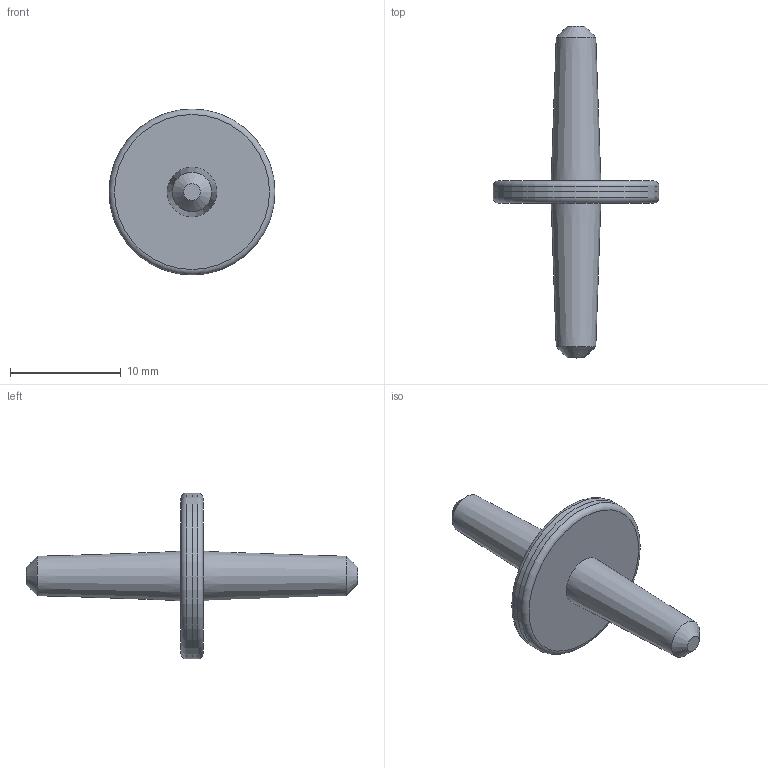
import cadquery as cq
import math

total_length = 30.0
flange_diameter = 15.0
flange_thickness = 2.0
flange_rim_fillet = 0.5
gauge_diameter = 4.0
gauge_distance = 8.0
taper_angle = 2.0
tip_chamfer = 1.0

half_length = total_length / 2
flange_radius = flange_diameter / 2
flange_face = flange_thickness / 2
taper_end = half_length - tip_chamfer


def pin_radius(distance):
    """Radius of the tapered pin at a distance from the flange mid-plane."""
    return gauge_diameter / 2 + (gauge_distance - distance) * math.tan(math.radians(taper_angle))


def make_half_pin():
    """Pin from the flange mid-plane to its +Y tip."""
    tip_radius = pin_radius(half_length) - tip_chamfer
    return (
        cq.Workplane("XY")
        .lineTo(pin_radius(0), 0)
        .lineTo(pin_radius(taper_end), taper_end)
        .lineTo(tip_radius, half_length)
        .lineTo(0, half_length)
        .close()
        .revolve(360, (0, 0, 0), (0, 1, 0))
    )


def make_flange():
    """Round flange centred on the XZ plane, with both rim edges filleted."""
    return (
        cq.Workplane("XZ")
        .circle(flange_radius)
        .extrude(flange_face, both=True)
        .edges("%CIRCLE")
        .fillet(flange_rim_fillet)
    )


half_pin = make_half_pin()
pin = half_pin.union(half_pin.mirror("XZ"))
result = make_flange().union(pin)